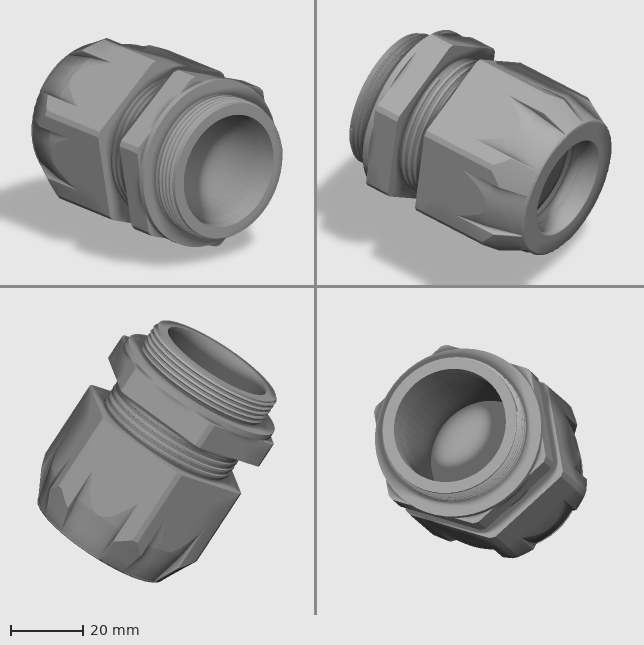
import cadquery as cq
import math


lip_depth = 6.05
insert_throat_end = 7.8
insert_dome_x = 10.3
shoulder_start = 11.25
body_start = 14.7
pocket_end = 20.65
insert_end = 24.45
cap_end = 34.35
hex_start = 43.7
hex_end = 51.3
gasket_end = 53.05
total_length = 61.1

across_flats = 46.05
corner_diameter = 52.2
flat_angle = 10.0
sides = 6
sector = 360 / sides

rim_radius = 20.7
rim_round = 0.7
pocket_step = 0.3
corner_round = 0.5
grip_half_angle = 11.0
grip_edge_round = 0.25
mouth_diameter = 28.5
mouth_round = 0.4
cap_thread_diameter = 40.35

insert_diameter = 36.0
insert_bore = 28.3
insert_flare_round = 2.25
insert_chamber_diameter = 33.4
dome_flat_radius = 12.15
dome_round = 6.85

neck_diameter = 39.2
outlet_bore = 32.35
entry_diameter = 38.65
gasket_diameter = 48.0

cap_thread_pitch = 2.0
cap_thread_turns = 8
cap_thread_end_x = 42.6
cap_thread_end_angle = 82.0
cap_thread_root_width = 1.15
cap_thread_crest_width = 0.7

entry_thread_diameter = 40.0
entry_thread_pitch = 1.5
entry_thread_turns = 6
entry_thread_end_x = 60.4
entry_thread_end_angle = 8.0
entry_thread_root_width = 1.1
entry_thread_crest_width = 0.05

thread_embed = 0.2

flat_radius = across_flats / 2
corner_radius = corner_diameter / 2
pocket_half_angle = sector / 2 - grip_half_angle
pocket_front_radius = rim_radius - pocket_step
pocket_wall_radius = flat_radius / math.cos(math.radians(pocket_half_angle))


def cylinder(start, end, diameter):
    return cq.Workplane("YZ", origin=(start, 0, 0)).circle(diameter / 2).extrude(end - start)


def revolve(outline):
    """Turns a closed outline in the XY plane about the X axis."""
    return outline.close().revolve(360, (0, 0, 0), (1, 0, 0))


def hex_prism(start, end):
    """Hexagonal prism whose corners are cut by a turned diameter."""
    prism = (
        cq.Workplane("YZ", origin=(start, 0, 0))
        .polygon(sides, across_flats, circumscribed=True)
        .extrude(end - start)
        .rotate((0, 0, 0), (1, 0, 0), flat_angle)
    )
    return prism.intersect(cylinder(start, end, corner_diameter))


def thread_ridge(core_diameter, crest_diameter, root_width, crest_width, pitch, turns, end_x, end_angle):
    """Right-handed helical ridge whose last section is at the given place and angle."""
    root = core_diameter / 2 - thread_embed
    crest = crest_diameter / 2
    height = pitch * turns
    section = cq.Workplane("XZ").polyline([
        (root, -root_width / 2),
        (crest, -crest_width / 2),
        (crest, crest_width / 2),
        (root, root_width / 2),
    ]).close()
    path = cq.Workplane(cq.Wire.makeHelix(pitch, height, core_diameter / 2))
    ridge = section.sweep(path, isFrenet=True)
    start_angle = end_angle - 360 * turns
    axis_plane = cq.Plane.named("YZ", origin=(end_x - height, 0, 0))
    turned = ridge.val().moved(cq.Location(axis_plane))
    return cq.Workplane(turned).rotate((0, 0, 0), (1, 0, 0), start_angle)


def pocket_floor_radius(x):
    """Radius of the sloping pocket floor, which meets the flats along a curve."""
    if x < shoulder_start:
        slope = (flat_radius - pocket_front_radius) / (shoulder_start - rim_round)
    else:
        slope = (pocket_wall_radius - flat_radius) / (pocket_end - shoulder_start)
    return flat_radius + slope * (x - shoulder_start)


def grip_pockets():
    """Cutters that hollow the front of each flat between two corner grips."""
    outer_radius = corner_diameter
    above_floor = revolve(
        cq.Workplane("XY")
        .moveTo(rim_round, pocket_front_radius)
        .lineTo(shoulder_start, flat_radius)
        .lineTo(pocket_end, pocket_wall_radius)
        .lineTo(pocket_end, outer_radius)
        .lineTo(rim_round, outer_radius)
    )
    reach = 2 * outer_radius
    half_width = reach * math.tan(math.radians(pocket_half_angle))
    wedge = (
        cq.Workplane("YZ")
        .polyline([(0, 0), (reach, -half_width), (reach, half_width)])
        .close()
        .extrude(pocket_end)
    )
    for index in range(sides):
        angle = flat_angle + index * sector
        yield above_floor.intersect(wedge.rotate((0, 0, 0), (1, 0, 0), angle))


def is_grip_edge(edge):
    """True for the straight outer edges of the pocket walls, above the pocket floor."""
    middle = edge.positionAt(0.5)
    if edge.geomType() != "LINE" or middle.x > pocket_end:
        return False
    return math.hypot(middle.y, middle.z) > pocket_floor_radius(middle.x) + grip_edge_round


def make_cap():
    hexagon = hex_prism(0, cap_end).edges("|X").fillet(corner_round)
    front = revolve(
        cq.Workplane("XY")
        .lineTo(0, rim_radius - rim_round)
        .radiusArc((rim_round, rim_radius), rim_round)
        .lineTo(shoulder_start, corner_radius)
        .lineTo(shoulder_start, corner_diameter)
        .lineTo(cap_end, corner_diameter)
        .lineTo(cap_end, 0)
    )
    cap = hexagon.intersect(front)
    for pocket in grip_pockets():
        cap = cap.cut(pocket)
    grip_edges = [edge for edge in cap.edges().vals() if is_grip_edge(edge)]
    cap = cap.newObject(grip_edges).fillet(grip_edge_round)
    bore = cylinder(0, lip_depth, mouth_diameter)
    seat = cylinder(lip_depth, body_start, insert_diameter)
    thread_bore = cylinder(body_start, cap_end, cap_thread_diameter)
    cap = cap.cut(bore).cut(seat).cut(thread_bore)
    mouth_edge = cq.selectors.RadiusNthSelector(0)
    return cap.faces("<X").edges(mouth_edge).fillet(mouth_round)


def make_body():
    neck = cylinder(body_start, hex_start, neck_diameter)
    entry = cylinder(hex_end, total_length, entry_diameter)
    cap_thread = thread_ridge(
        neck_diameter, cap_thread_diameter, cap_thread_root_width, cap_thread_crest_width,
        cap_thread_pitch, cap_thread_turns, cap_thread_end_x, cap_thread_end_angle,
    )
    entry_thread = thread_ridge(
        entry_diameter, entry_thread_diameter, entry_thread_root_width, entry_thread_crest_width,
        entry_thread_pitch, entry_thread_turns, entry_thread_end_x, entry_thread_end_angle,
    ).intersect(cylinder(gasket_end, total_length, gasket_diameter))
    body = neck.union(cap_thread).union(hex_prism(hex_start, hex_end))
    body = body.union(entry).union(entry_thread)
    seat = cylinder(body_start, insert_end, insert_diameter)
    outlet = cylinder(insert_end, total_length, outlet_bore)
    return body.cut(seat).cut(outlet)


def make_insert():
    """Blind sealing insert: a rounded lip in front of a chamber with a domed floor."""
    throat_radius = insert_bore / 2
    chamber_radius = insert_chamber_diameter / 2
    flare_end_x = insert_throat_end + insert_flare_round
    flare_end_radius = throat_radius + insert_flare_round
    dome_angle = math.asin((chamber_radius - dome_flat_radius) / dome_round)
    dome_edge_x = insert_dome_x + dome_round * (1 - math.cos(dome_angle))
    plug = cylinder(lip_depth, insert_end, insert_diameter)
    recess = revolve(
        cq.Workplane("XY")
        .moveTo(lip_depth, 0)
        .lineTo(lip_depth, throat_radius)
        .lineTo(insert_throat_end, throat_radius)
        .radiusArc((flare_end_x, flare_end_radius), -insert_flare_round)
        .lineTo(flare_end_x, chamber_radius)
        .lineTo(dome_edge_x, chamber_radius)
        .radiusArc((insert_dome_x, dome_flat_radius), -dome_round)
        .lineTo(insert_dome_x, 0)
    )
    return plug.cut(recess)


def make_gasket():
    return cylinder(hex_end, gasket_end, gasket_diameter).cut(cylinder(hex_end, gasket_end, entry_diameter))


cap = make_cap()
body = make_body()
insert = make_insert()
gasket = make_gasket()

result = cq.Compound.makeCompound([cap.solids().val(), body.solids().val(), insert.solids().val(), gasket.solids().val()])